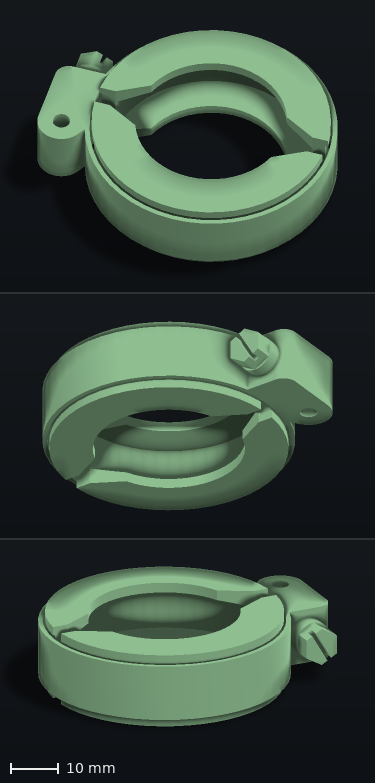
import cadquery as cq
import math

length = 61.9
height = 16.0

band_radius = 26.45
band_wall = 1.0
band_height = 12.0

lug_radius = 5.0
lug_half_pitch = 7.5
lug_corner_radius = 3.0
lug_arc_end = math.radians(-30)
lug_hole_diameter = 3.65
lug_x_min = band_radius - length
lug_x = lug_x_min + lug_radius
lug_inner_x = -band_radius + 2 * band_wall

collar_diameter = 8.05
collar_length = 3.1
head_flats = 7.0
head_length = 3.95
driver_slot_width = 1.0
driver_slot_depth = 2.15
driver_slot_angle = 60.0
bolt_x = -29.5

jaw_radius = 25.0
jaw_bore_radius = 15.9
jaw_half_gap = 2.0
groove_radius = 24.5
groove_height = 12.25
mouth_outer_x = 21.55
mouth_inner_x = 14.85
mouth_inner_y = math.sqrt(jaw_bore_radius**2 - mouth_inner_x**2)
cavity_radius = math.hypot(mouth_outer_x, jaw_half_gap)
cavity_bore_half_height = 5.8
cavity_slope = 14.0
cavity_wall_half_height = cavity_bore_half_height - (
    (cavity_radius - jaw_bore_radius) * math.tan(math.radians(cavity_slope))
)


def disc(radius, thickness):
    """Cylinder about Z, centred on the XY plane."""
    return cq.Workplane("XY").circle(radius).extrude(thickness / 2, both=True)


def make_lug():
    """Block with one full-round end, one rounded corner and a pin hole."""
    arc_end_x = lug_x + lug_radius * math.cos(lug_arc_end)
    arc_end_y = -lug_half_pitch + lug_radius * math.sin(lug_arc_end)
    flat_end_y = arc_end_y - (lug_inner_x - arc_end_x) / math.tan(lug_arc_end)
    block = (
        cq.Workplane("XY")
        .moveTo(lug_x_min, -lug_half_pitch)
        .threePointArc((lug_x, -lug_half_pitch - lug_radius), (arc_end_x, arc_end_y))
        .lineTo(lug_inner_x, flat_end_y)
        .lineTo(lug_inner_x, lug_half_pitch)
        .lineTo(lug_x_min, lug_half_pitch)
        .close()
        .extrude(band_height / 2, both=True)
        .edges("|Z and <X and >Y")
        .fillet(lug_corner_radius)
    )
    hole = (
        cq.Workplane("XY")
        .center(lug_x, -lug_half_pitch)
        .circle(lug_hole_diameter / 2)
        .extrude(band_height / 2, both=True)
    )
    return block.cut(hole)


def make_bolt():
    """Collar and slotted hex head pointing along +Y, with hex corners up and down."""
    collar_plane = cq.Plane(origin=(bolt_x, lug_half_pitch, 0), xDir=(0, 0, 1), normal=(0, 1, 0))
    collar = cq.Workplane(collar_plane).circle(collar_diameter / 2).extrude(collar_length)
    head_corners = head_flats / math.cos(math.pi / 6)
    head = (
        cq.Workplane(collar_plane)
        .workplane(offset=collar_length)
        .polygon(6, head_corners)
        .extrude(head_length)
    )
    slot_y = lug_half_pitch + collar_length + head_length - driver_slot_depth / 2
    slot = (
        cq.Workplane("XY")
        .box(2 * head_corners, driver_slot_depth, driver_slot_width)
        .rotate((0, 0, 0), (0, 1, 0), -driver_slot_angle)
        .translate((bolt_x, slot_y, 0))
    )
    return collar.union(head.cut(slot))


def make_band():
    """Ring with the lug and the bolt as one solid."""
    bore = disc(band_radius - band_wall, band_height)
    return disc(band_radius, band_height).union(make_lug()).cut(bore).union(make_bolt())


def make_cavity():
    """Internal channel with sloped faces, widest in Z at the bore."""
    return (
        cq.Workplane("XZ")
        .moveTo(0, -cavity_bore_half_height)
        .lineTo(jaw_bore_radius, -cavity_bore_half_height)
        .lineTo(cavity_radius, -cavity_wall_half_height)
        .lineTo(cavity_radius, cavity_wall_half_height)
        .lineTo(jaw_bore_radius, cavity_bore_half_height)
        .lineTo(0, cavity_bore_half_height)
        .close()
        .revolve(360, (0, 0, 0), (0, 1, 0))
    )


def make_jaw(turn):
    """Half ring on the +Y side, turned about Z by the given angle."""
    blank = (
        cq.Workplane("XY")
        .rect(2 * jaw_radius, 2 * jaw_radius)
        .extrude(height / 2, both=True)
        .translate((0, jaw_half_gap + jaw_radius, 0))
        .intersect(disc(jaw_radius, height))
    )
    mouth = (
        cq.Workplane("XY")
        .moveTo(-mouth_outer_x, jaw_half_gap)
        .lineTo(-mouth_inner_x, mouth_inner_y)
        .threePointArc((0, jaw_bore_radius), (mouth_inner_x, mouth_inner_y))
        .lineTo(mouth_outer_x, jaw_half_gap)
        .close()
        .extrude(height / 2, both=True)
    )
    groove = disc(jaw_radius, groove_height).cut(disc(groove_radius, groove_height))
    jaw = blank.cut(mouth).cut(groove).cut(make_cavity())
    return jaw.rotate((0, 0, 0), (0, 0, 1), turn)


band = make_band()
jaws = [make_jaw(turn).val() for turn in (0, 180)]

result = cq.Compound.makeCompound([band.val(), *jaws])